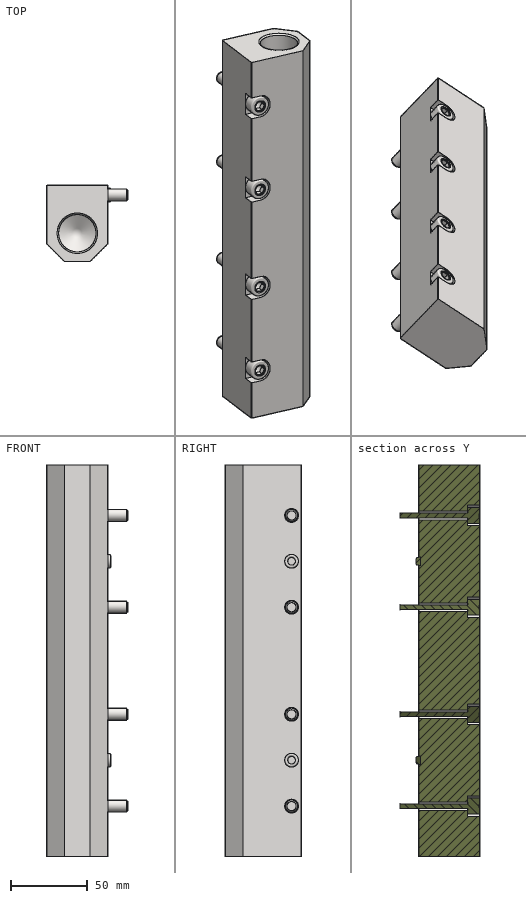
import cadquery as cq
import math

width = 40.0
depth = 50.0
height = 256.0
corner_chamfer = 11.6
back_edge_chamfer = 0.4

bore_diameter = 24.38
bore_mouth_diameter = 26.4
bore_centre_y = 18.5
bore_depth = 60.0
drill_point_angle = 118.0

screw_diameter = 8.0
screw_length_past_housing = 13.0
screw_tip_chamfer = 1.0
clearance_diameter = 9.0
head_diameter = 13.0
head_height = 8.0
head_fillet = 0.8
socket_across_flats = 6.0
socket_depth = 4.0
socket_mouth_diameter = 8.0
recess_width = 15.0
recess_depth = head_height
screw_y = depth - head_diameter / 2
end_to_screw = 33.0
screw_spacing = 60.0

ring_outer_diameter = 9.0
ring_thickness = 2.0
ring_wall_projection = 0.87
ring_groove_depth = 1.0

ring_heights = [end_to_screw + screw_spacing / 2, height - end_to_screw - screw_spacing / 2]
screw_heights = [z + side * screw_spacing / 2 for z in ring_heights for side in (-1, 1)]


def cone_height(diameter, angle):
    """Height of a cone with the given base diameter and included tip angle."""
    return diameter / 2 / math.tan(math.radians(angle / 2))


def along_x(x):
    """Workplane facing +X at the given x; local x is Y and local y is Z."""
    return cq.Workplane("YZ", origin=(x, 0, 0))


def make_bore():
    mouth_radius = bore_mouth_diameter / 2
    bore_radius = bore_diameter / 2
    mouth_depth = mouth_radius - bore_radius
    tip_depth = bore_depth + cone_height(bore_diameter, drill_point_angle)
    return (
        cq.Workplane("XZ")
        .moveTo(0, 0)
        .lineTo(mouth_radius, 0)
        .lineTo(bore_radius, -mouth_depth)
        .lineTo(bore_radius, -bore_depth)
        .lineTo(0, -tip_depth)
        .close()
        .revolve(360, (0, 0, 0), (0, 1, 0))
        .translate((width / 2, bore_centre_y, height))
    )


def make_screw_cut(z):
    """Clearance hole and a round-ended head recess that is open to the +Y face."""
    clearance = along_x(0).center(screw_y, z).circle(clearance_diameter / 2).extrude(width)
    round_end = along_x(0).center(screw_y, z).circle(recess_width / 2).extrude(recess_depth)
    open_end = (
        along_x(0)
        .center((screw_y + depth) / 2, z)
        .rect(depth - screw_y, recess_width)
        .extrude(recess_depth)
    )
    return clearance.union(round_end).union(open_end)


def make_ring(z):
    """Ring seated in the +X face, with straight walls and a half-round front."""
    outer_radius = ring_outer_diameter / 2
    inner_radius = outer_radius - ring_thickness
    middle_radius = outer_radius - ring_thickness / 2
    wall_end = ring_wall_projection
    return (
        cq.Workplane("XY")
        .moveTo(-ring_groove_depth, inner_radius)
        .lineTo(-ring_groove_depth, outer_radius)
        .lineTo(wall_end, outer_radius)
        .threePointArc((wall_end + ring_thickness / 2, middle_radius), (wall_end, inner_radius))
        .close()
        .revolve(360, (0, 0, 0), (1, 0, 0))
        .translate((width, screw_y, z))
    )


def make_housing():
    body = (
        cq.Workplane("XY")
        .rect(width, depth, centered=False)
        .extrude(height)
        .edges("|Z and <Y")
        .chamfer(corner_chamfer)
        .edges("|Z and >Y")
        .chamfer(back_edge_chamfer)
        .cut(make_bore())
    )
    for z in screw_heights:
        body = body.cut(make_screw_cut(z))
    for z in ring_heights:
        body = body.cut(make_ring(z))
    return body


def cone_along_x(x, base_diameter, tip_diameter, cone_length):
    """Cone or cone frustum with its base at the given x, narrowing toward +X."""
    cone = cq.Solid.makeCone(
        base_diameter / 2,
        tip_diameter / 2,
        cone_length,
        pnt=cq.Vector(x, 0, 0),
        dir=cq.Vector(1, 0, 0),
    )
    return cq.Workplane(cone)


def make_socket(head_top):
    """Hexagonal socket with a conical floor and a countersunk mouth."""
    across_corners = socket_across_flats / math.cos(math.radians(30))
    floor_height = cone_height(across_corners, drill_point_angle)
    floor = cone_along_x(head_top + socket_depth, across_corners, 0, floor_height)
    drilling = along_x(head_top).circle(across_corners / 2).extrude(socket_depth).union(floor)
    hexagon = along_x(head_top).polygon(6, across_corners).extrude(head_height)
    mouth_depth = (socket_mouth_diameter - across_corners) / 2
    mouth = cone_along_x(head_top, socket_mouth_diameter, across_corners, mouth_depth)
    return hexagon.intersect(drilling).union(mouth)


def make_screw(z):
    seat = recess_depth
    head_top = seat - head_height
    head = (
        along_x(head_top)
        .circle(head_diameter / 2)
        .extrude(head_height)
        .faces("<X")
        .edges()
        .fillet(head_fillet)
    )
    shank = (
        along_x(seat)
        .circle(screw_diameter / 2)
        .extrude(width - seat + screw_length_past_housing)
        .faces(">X")
        .edges()
        .chamfer(screw_tip_chamfer)
    )
    screw = head.union(shank).cut(make_socket(head_top))
    return screw.translate((0, screw_y, z))


housing = make_housing()
screws = [make_screw(z) for z in screw_heights]
rings = [make_ring(z) for z in ring_heights]

result = cq.Compound.makeCompound(
    [housing.val()] + [screw.val() for screw in screws] + [ring.val() for ring in rings]
)